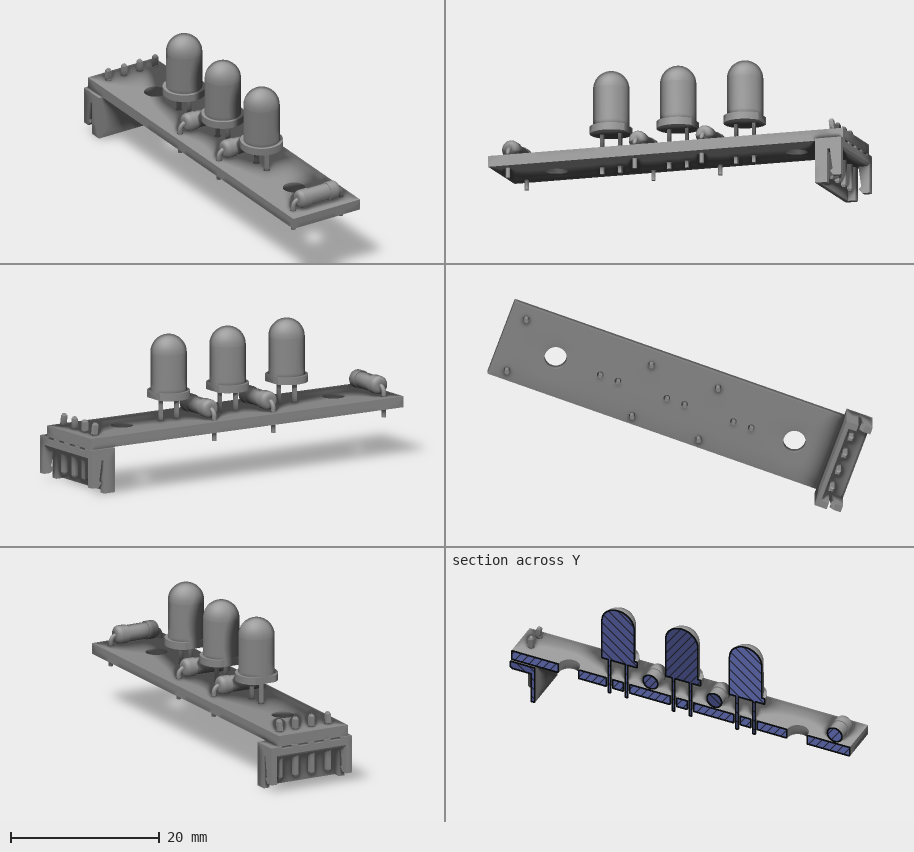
import cadquery as cq


board_length = 50.5
board_width = 10.7
board_thickness = 1.5
mount_hole_diameter = 3.0
mount_hole_xs = [8.5, 42.65]
mount_hole_y = -0.13

row_y = -0.3
component_pitch = 9.525
led_count = 3
led_first_x = 15.9
led_xs = [led_first_x + i * component_pitch for i in range(led_count)]
led_diameter = 4.9
led_flange_diameter = 5.8
led_flange_thickness = 1.0
led_standoff = 3.05
led_height = 8.65
led_lead_pitch = 2.54
led_lead_side = 0.45
led_lead_below_board = 0.9
led_hole_diameter = 0.9

resistor_first_x = 20.75
end_resistor_x = 48.25
end_resistor_y = -0.1
resistor_positions = [
    (resistor_first_x, row_y),
    (resistor_first_x + component_pitch, row_y),
    (end_resistor_x, end_resistor_y),
]
resistor_axis_height = 1.35
resistor_cap_diameter = 2.5
resistor_waist_diameter = 2.25
resistor_body_length = 6.4
resistor_waist_length = 3.05
resistor_end_round = 0.65
resistor_lead_diameter = 0.6
resistor_lead_pitch = 7.62
resistor_lead_bend = 0.9
resistor_lead_below_board = 1.35
resistor_hole_diameter = 0.8

connector_left = -0.2
connector_depth = 3.7
connector_width = 12.5
connector_height = 6.1
connector_y = 0.38
side_wall = 0.9
back_wall = 0.6
roof_front = 1.2
roof_back = 1.5
arm_bottom = 5.2
arm_root = 1.6
arm_neck = 1.2
arm_neck_depth = 4.3
arm_barb_depth = 4.6
arm_tip = 1.05
flange_front = 2.0
groove_width = 1.6
groove_depth = 0.3

pin_count = 4
pin_pitch = 2.5
pin_side = 0.64
pin_x = connector_left + 2.22
pin_above_board = 1.65
pin_below_board = 5.2
pin_tip = 0.3
pin_tip_inset = 0.15
pin_hole_diameter = 0.95
kink_height = 0.1
kink_offset = 0.16
pin_ys = [connector_y + (i - (pin_count - 1) / 2) * pin_pitch for i in range(pin_count)]


def drill(points, diameter):
    """Vertical cutters through the board at the given points."""
    return cq.Workplane("XY").pushPoints(points).circle(diameter / 2).extrude(board_thickness)


def led_lead_points(x):
    return [(x + side * led_lead_pitch / 2, row_y) for side in (-1, 1)]


def resistor_lead_points(x, y):
    return [(x, y + side * resistor_lead_pitch / 2) for side in (-1, 1)]


def make_board():
    board = cq.Workplane("XY").box(
        board_length, board_width, board_thickness, centered=(False, True, False)
    )
    board = board.cut(drill([(x, mount_hole_y) for x in mount_hole_xs], mount_hole_diameter))
    board = board.cut(drill([(pin_x, y) for y in pin_ys], pin_hole_diameter))
    for x in led_xs:
        board = board.cut(drill(led_lead_points(x), led_hole_diameter))
    for x, y in resistor_positions:
        board = board.cut(drill(resistor_lead_points(x, y), resistor_hole_diameter))
    return board


def make_led(x):
    base = board_thickness + led_standoff
    radius = led_diameter / 2
    flange = (
        cq.Workplane("XY", origin=(x, row_y, base))
        .circle(led_flange_diameter / 2)
        .extrude(led_flange_thickness)
    )
    flat = cq.Workplane("XY", origin=(x - radius, row_y, base)).box(
        led_flange_diameter, led_flange_diameter, led_height, centered=(False, True, False)
    )
    lens = (
        cq.Workplane("XZ", origin=(x, row_y, base))
        .lineTo(radius, 0)
        .lineTo(radius, led_height - radius)
        .radiusArc((0, led_height), -radius)
        .close()
        .revolve(360, (0, 0), (0, 1))
    )
    leads = (
        cq.Workplane("XY", origin=(0, 0, -led_lead_below_board))
        .pushPoints(led_lead_points(x))
        .rect(led_lead_side, led_lead_side)
        .extrude(led_lead_below_board + base)
    )
    return flange.intersect(flat).union(lens).union(leads)


def make_resistor(x, y):
    axis_z = board_thickness + resistor_axis_height
    half_length = resistor_body_length / 2
    half_waist = resistor_waist_length / 2
    cap_radius = resistor_cap_diameter / 2
    waist_radius = resistor_waist_diameter / 2
    body = (
        cq.Workplane("YZ", origin=(x, y, axis_z))
        .moveTo(-half_length, 0)
        .lineTo(-half_length, cap_radius - resistor_end_round)
        .radiusArc((-half_length + resistor_end_round, cap_radius), resistor_end_round)
        .lineTo(-half_waist, cap_radius)
        .lineTo(-half_waist, waist_radius)
        .lineTo(half_waist, waist_radius)
        .lineTo(half_waist, cap_radius)
        .lineTo(half_length - resistor_end_round, cap_radius)
        .radiusArc((half_length, cap_radius - resistor_end_round), resistor_end_round)
        .lineTo(half_length, 0)
        .close()
        .revolve(360, (0, 0), (1, 0))
    )
    end_y = resistor_lead_pitch / 2
    bend_y = end_y - resistor_lead_bend
    bend_z = -resistor_lead_bend
    end_z = -axis_z - resistor_lead_below_board
    path = (
        cq.Workplane("YZ", origin=(x, y, axis_z))
        .moveTo(-end_y, end_z)
        .lineTo(-end_y, bend_z)
        .radiusArc((-bend_y, 0), resistor_lead_bend)
        .lineTo(bend_y, 0)
        .radiusArc((end_y, bend_z), resistor_lead_bend)
        .lineTo(end_y, end_z)
    )
    wire = (
        cq.Workplane("XY", origin=(x, y - end_y, axis_z + end_z))
        .circle(resistor_lead_diameter / 2)
        .sweep(path)
    )
    return body.union(wire)


def make_pin(y, kinked):
    """A square pin with a tapered tip at each end; a kinked pin leans left just above the board."""
    half = pin_side / 2
    top = board_thickness + pin_above_board
    bottom = -pin_below_board
    tip_side = pin_side - 2 * pin_tip_inset
    centre_line = [(0, bottom + pin_tip), (0, top - pin_tip)]
    if kinked:
        centre_line[1:1] = [
            (0, board_thickness),
            (-kink_offset, board_thickness + kink_height),
        ]
    left_edge = [(x - half, z) for x, z in centre_line]
    right_edge = [(x + half, z) for x, z in reversed(centre_line)]
    shank = (
        cq.Workplane("XZ", origin=(pin_x, y, 0))
        .polyline(left_edge + right_edge).close()
        .extrude(half, both=True)
    )
    for face in (">Z", "<Z"):
        tip = (
            shank.faces(face).workplane(centerOption="CenterOfMass")
            .rect(pin_side, pin_side)
            .workplane(offset=pin_tip)
            .rect(tip_side, tip_side)
            .loft(combine=False)
        )
        shank = shank.union(tip)
    return shank


def make_connector():
    right = connector_depth
    inner = connector_depth - back_wall
    side_profile = [
        (0, 0),
        (right, 0),
        (right, -connector_height),
        (flange_front, -connector_height),
        (flange_front, -roof_back),
        (arm_root, -roof_back),
        (arm_neck, -arm_neck_depth),
        (arm_root, -arm_barb_depth),
        (arm_tip, -arm_bottom),
        (0, -arm_bottom),
    ]
    origin = (connector_left, connector_y, 0)
    housing = (
        cq.Workplane("XZ", origin=origin)
        .polyline(side_profile).close()
        .extrude(connector_width / 2, both=True)
    )
    cavity_width = connector_width - 2 * side_wall
    cavity = (
        cq.Workplane("XZ", origin=origin)
        .polyline([
            (0, -roof_front),
            (roof_back - roof_front, -roof_back),
            (inner, -roof_back),
            (inner, -connector_height),
            (0, -connector_height),
        ]).close()
        .extrude(cavity_width / 2, both=True)
    )
    housing = housing.cut(cavity)
    for y in pin_ys:
        groove = cq.Workplane("XY", origin=(connector_left, y, -groove_depth)).box(
            connector_depth, groove_width, groove_depth, centered=(False, True, False)
        )
        housing = housing.cut(groove)
    for y in pin_ys:
        outermost = y in (pin_ys[0], pin_ys[-1])
        housing = housing.union(make_pin(y, kinked=outermost))
    return housing


board = make_board()
leds = [make_led(x) for x in led_xs]
resistors = [make_resistor(x, y) for x, y in resistor_positions]
connector = make_connector()

result = cq.Compound.makeCompound([
    board.val(),
    *[led.val() for led in leds],
    *[resistor.val() for resistor in resistors],
    connector.val(),
])